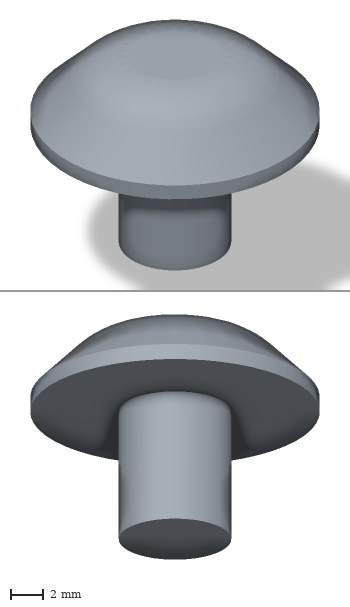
import cadquery as cq

total_height = 13.5
head_diameter = 18.0
head_height = 5.0
rim_height = 1.0
crown_radius = 5.0
stem_diameter = 7.0

taper_size = head_height - rim_height
stem_length = total_height - head_height

stem = cq.Workplane("XY").circle(stem_diameter / 2).extrude(stem_length)

head = (
    cq.Workplane("XY")
    .workplane(offset=stem_length)
    .circle(head_diameter / 2)
    .extrude(head_height)
    .faces(">Z")
    .edges()
    .chamfer(taper_size)
    .faces(">Z")
    .edges()
    .fillet(crown_radius)
)

result = stem.union(head)